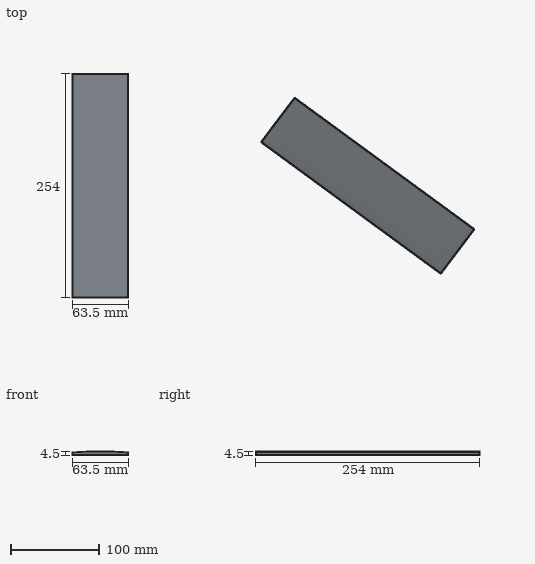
import cadquery as cq

width = 63.5
length = 254.0
crown_height = 4.5

edge_height = 3.3

half_width = width / 2

profile = (
    cq.Workplane("XZ")
    .moveTo(-half_width, 0)
    .lineTo(half_width, 0)
    .lineTo(half_width, edge_height)
    .threePointArc((0, crown_height), (-half_width, edge_height))
    .close()
)

result = profile.extrude(length / 2, both=True)